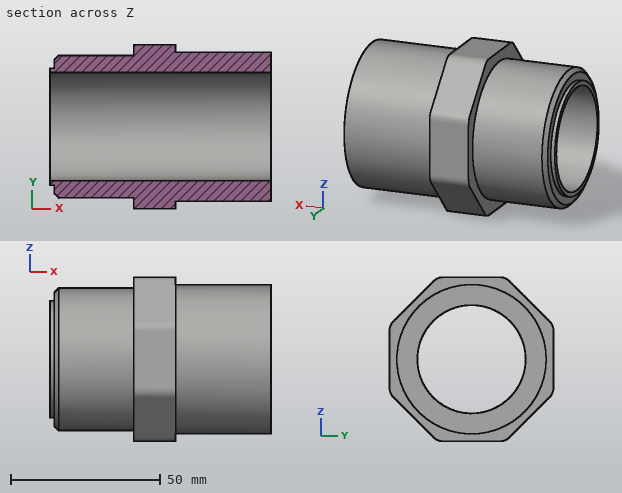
import cadquery as cq
import math

total_length = 74.0
lip_length = 1.4
nut_start = 28.0
nut_length = 14.05
nut_end = nut_start + nut_length

bore_diameter = 36.2
lip_diameter = 39.3
spigot_diameter = 47.8
socket_diameter = 50.0
spigot_chamfer = 1.5

nut_across_flats = 55.0
nut_corner_radius = 4.4
nut_sides = 8


def cylinder_x(diameter, start, end):
    """Solid cylinder along X between two positions."""
    return cq.Workplane("YZ", origin=(start, 0, 0)).circle(diameter / 2).extrude(end - start)


def octagonal_nut():
    """Collar with flats facing Y and Z, and rounded corners."""
    across_corners = nut_across_flats / math.cos(math.pi / nut_sides)
    return (
        cq.Workplane("YZ", origin=(nut_start, 0, 0))
        .transformed(rotate=(0, 0, 180 / nut_sides))
        .polygon(nut_sides, across_corners)
        .extrude(nut_length)
        .edges("|X")
        .fillet(nut_corner_radius)
    )


lip = cylinder_x(lip_diameter, 0, nut_start)
spigot = cylinder_x(spigot_diameter, lip_length, nut_start).faces("<X").chamfer(spigot_chamfer)
socket = cylinder_x(socket_diameter, nut_end, total_length)
bore = cylinder_x(bore_diameter, 0, total_length)

result = lip.union(spigot).union(octagonal_nut()).union(socket).cut(bore)